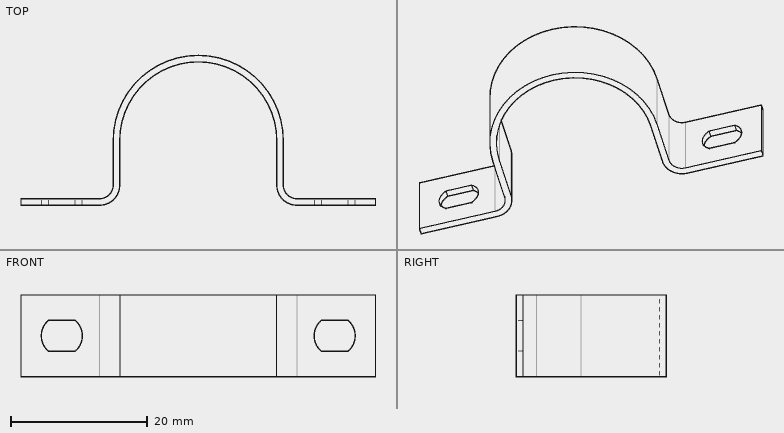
import cadquery as cq
import math

length = 52.0
height = 22.0
width = 12.0
thickness = 1.0

crown_outer_radius = 12.5
bend_inner_radius = 2.0

hole_spacing = 40.0
hole_diameter = 6.0
hole_across_flats = 4.5

crown_inner_radius = crown_outer_radius - thickness
crown_center_y = height - crown_outer_radius
bend_outer_radius = bend_inner_radius + thickness
bend_center_x = crown_inner_radius + bend_outer_radius
bend_center_y = bend_outer_radius
half_length = length / 2


def bend_middle(side, radius):
    """Midpoint of a foot bend arc; side is -1 for left, 1 for right."""
    offset = radius * math.sqrt(0.5)
    return (side * (bend_center_x - offset), bend_center_y - offset)


def bent_strip():
    """Constant-thickness strip: foot, bend, leg, half-round crown, and back down."""
    profile = (
        cq.Workplane("XY")
        .moveTo(-half_length, 0)
        .lineTo(-bend_center_x, 0)
        .threePointArc(bend_middle(-1, bend_outer_radius), (-crown_inner_radius, bend_center_y))
        .lineTo(-crown_inner_radius, crown_center_y)
        .threePointArc((0, height - thickness), (crown_inner_radius, crown_center_y))
        .lineTo(crown_inner_radius, bend_center_y)
        .threePointArc(bend_middle(1, bend_outer_radius), (bend_center_x, 0))
        .lineTo(half_length, 0)
        .lineTo(half_length, thickness)
        .lineTo(bend_center_x, thickness)
        .threePointArc(bend_middle(1, bend_inner_radius), (crown_outer_radius, bend_center_y))
        .lineTo(crown_outer_radius, crown_center_y)
        .threePointArc((0, height), (-crown_outer_radius, crown_center_y))
        .lineTo(-crown_outer_radius, bend_center_y)
        .threePointArc(bend_middle(-1, bend_inner_radius), (-bend_center_x, thickness))
        .lineTo(-half_length, thickness)
        .close()
    )
    return profile.extrude(width / 2, both=True)


def hole_cutter(center_x):
    """Cylinder along Y trimmed by flats above and below."""
    depth = 2 * thickness
    cylinder = cq.Workplane("XZ").circle(hole_diameter / 2).extrude(depth, both=True)
    flats = cq.Workplane("XZ").rect(hole_diameter, hole_across_flats).extrude(depth, both=True)
    return cylinder.intersect(flats).translate((center_x, 0, 0))


result = bent_strip()
for side in (-1, 1):
    result = result.cut(hole_cutter(side * hole_spacing / 2))